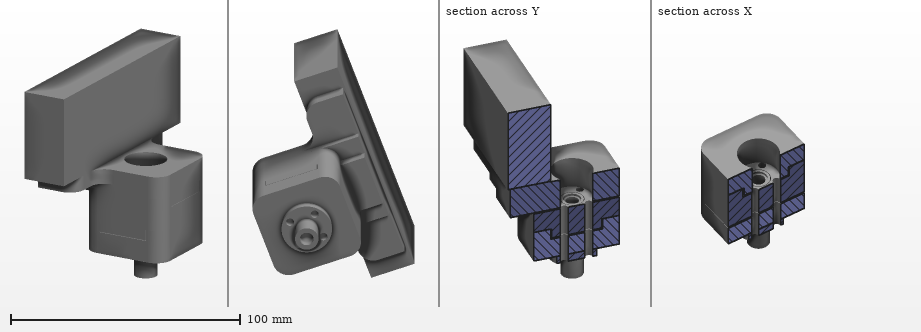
import cadquery as cq

block_depth = 20.0
block_width = 100.0
block_height = 40.0

housing_side = 40.0
housing_height = 14.8
corner_radius = 7.0

bracket_back = 1.0
wing_width = 80.0
wing_height = 6.7
bracket_height = 10.0

key_width = 23.4
key_drop = 4.7
key_gap = 0.3

shaft_diameter = 10.2
shaft_hole_diameter = 10.8
shaft_length = 10.0
flange_diameter = 22.0
flange_height = 3.6
bore_diameter = 6.0
counterbore_diameter = 8.0
counterbore_depth = 1.0
access_diameter = 18.8
bolt_diameter = 3.5
bolt_spacing = 11.4

housing_back = 12.0
axis_x = housing_back + housing_side / 2
housing_front = housing_back + housing_side
half_side = housing_side / 2

flange_bottom = shaft_length
lower_bottom = flange_bottom + flange_height
upper_bottom = lower_bottom + housing_height
bracket_bottom = upper_bottom + housing_height
bracket_top = bracket_bottom + bracket_height
shaft_top = bracket_bottom - key_drop - key_gap


def box(x_min, x_max, y_min, y_max, z_min, z_max):
    """Box between the given limits."""
    return (
        cq.Workplane("XY")
        .box(x_max - x_min, y_max - y_min, z_max - z_min, centered=False)
        .translate((x_min, y_min, z_min))
    )


def cylinder(diameter, z_min, z_max):
    """Cylinder on the shaft axis."""
    return (
        cq.Workplane("XY", origin=(axis_x, 0, z_min))
        .circle(diameter / 2)
        .extrude(z_max - z_min)
    )


def bolt_cutters():
    """Four rods that cut the bolt holes through the flange and both housings."""
    return (
        cq.Workplane("XY", origin=(axis_x, 0, flange_bottom))
        .rect(bolt_spacing, bolt_spacing, forConstruction=True)
        .vertices()
        .circle(bolt_diameter / 2)
        .extrude(bracket_bottom - flange_bottom)
    )


def key_along_x(x_min, top, clearance=0.0):
    """Key running along X to the housing's +X face, grown by a clearance."""
    half_width = key_width / 2 + clearance
    return box(x_min, housing_front, -half_width, half_width, top - key_drop - clearance, top)


def key_along_y(top, clearance=0.0):
    """Key running along Y across the housing, grown by a clearance."""
    half_width = key_width / 2 + clearance
    return box(
        axis_x - half_width, axis_x + half_width, -half_side, half_side, top - key_drop - clearance, top
    )


def housing_blank(bottom):
    """Rounded square housing with its shaft hole and bolt holes."""
    blank = box(
        housing_back, housing_front, -half_side, half_side, bottom, bottom + housing_height
    ).edges("|Z").fillet(corner_radius)
    shaft_hole = cylinder(shaft_hole_diameter, bottom, bottom + housing_height)
    return blank.cut(shaft_hole).cut(bolt_cutters())


def make_block():
    """Plain block standing on the bracket."""
    half_width = block_width / 2
    return box(0, block_depth, -half_width, half_width, bracket_top, bracket_top + block_height)


def make_bracket():
    """Plate with two upper wings, an access hole and a key below."""
    plate = box(
        bracket_back, housing_front, -half_side, half_side, bracket_bottom, bracket_top
    ).edges("|Z and >X").fillet(corner_radius)

    half_wing = wing_width / 2
    root_y = half_side + corner_radius
    wings = (
        cq.Workplane("XY", origin=(0, 0, bracket_top - wing_height))
        .moveTo(bracket_back, -half_wing)
        .lineTo(block_depth - corner_radius, -half_wing)
        .radiusArc((block_depth, -half_wing + corner_radius), -corner_radius)
        .lineTo(block_depth, -root_y)
        .radiusArc((block_depth + corner_radius, -half_side), corner_radius)
        .lineTo(block_depth + corner_radius, half_side)
        .radiusArc((block_depth, root_y), corner_radius)
        .lineTo(block_depth, half_wing - corner_radius)
        .radiusArc((block_depth - corner_radius, half_wing), -corner_radius)
        .lineTo(bracket_back, half_wing)
        .close()
        .extrude(wing_height)
    )
    key = key_along_x(bracket_back, bracket_bottom)
    access_hole = cylinder(access_diameter, bracket_bottom - key_drop, bracket_top)
    return plate.union(wings).union(key).cut(access_hole)


def make_upper_housing():
    """Housing with a slot along X for the bracket's key and its own key along Y below."""
    slot = key_along_x(housing_back, bracket_bottom, key_gap)
    shaft_hole = cylinder(shaft_hole_diameter, upper_bottom - key_drop, upper_bottom)
    key = key_along_y(upper_bottom).cut(shaft_hole).cut(bolt_cutters())
    return housing_blank(upper_bottom).cut(slot).union(key)


def make_lower_housing():
    """Housing with a slot along Y for the upper housing's key."""
    return housing_blank(lower_bottom).cut(key_along_y(upper_bottom, key_gap))


def make_shaft():
    """Hollow flanged shaft, level with the floor of the upper housing's slot."""
    shaft = cylinder(shaft_diameter, 0, shaft_top)
    flange = cylinder(flange_diameter, flange_bottom, lower_bottom)
    bore = cylinder(bore_diameter, 0, shaft_top)
    counterbore = cylinder(
        counterbore_diameter, shaft_top - counterbore_depth, shaft_top
    )
    return shaft.union(flange).cut(bore).cut(counterbore).cut(bolt_cutters())


block = make_block()
bracket = make_bracket()
upper_housing = make_upper_housing()
lower_housing = make_lower_housing()
shaft = make_shaft()

result = cq.Compound.makeCompound([
    block.val(),
    bracket.val(),
    upper_housing.val(),
    lower_housing.val(),
    shaft.val(),
])